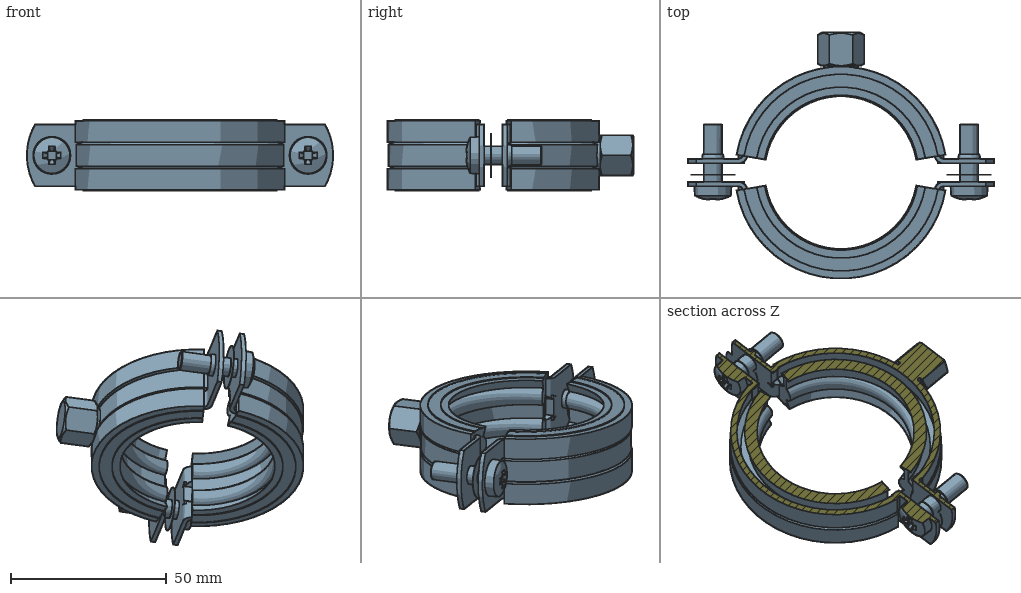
import cadquery as cq
import math


OUTER_RADIUS = 34.0
STEP_OUTER_RADIUS = 31.6
STEP_INNER_RADIUS = 27.5
LIP_RADIUS = 24.9
BEAD_RADIUS = 24.5
VALLEY_RADIUS = 26.6
RING_HEIGHT = 22.7
EDGE_HEIGHT = 22.1
BEAD_START = 2.3
BEAD_END = 8.1
END_ANGLE = 9.7

SHEET = 1.5
STRIP_WIDTH = 19.9
STRIP_RADIUS = 31.9
RIB_RADIUS = 33.8
RIB_FLAT = 6.9
RIB_WIDTH = 8.5
CHANNEL_RADIUS = 28.1
CHANNEL_FLOOR = 4.5
CHANNEL_WIDTH = 8.9
CHANNEL_ROOF = 5.5

EAR_TIP = 49.2
EAR_CORNER = 46.5
EAR_ROOT = 33.0
EAR_GAP = 5.9
BEND_RADIUS = 1.5

SCREW_X = 41.1
SCREW_DIAMETER = 6.0
SCREW_TIP_DIAMETER = 5.5
SCREW_TIP_Y = 15.5
COLLAR_DIAMETER = 7.0
COLLAR_TOP_DIAMETER = 6.5
COLLAR_STRAIGHT = 0.6
COLLAR_HEIGHT = 1.5
WASHER_DIAMETER = 14.0
WASHER_THICKNESS = 0.1
WASHER_Y = -0.7
HEAD_DIAMETER = 12.0
HEAD_RIM_DIAMETER = 11.6
HEAD_SIDE = 3.0
HEAD_DOME = 1.5
RECESS_SPAN = 6.7
RECESS_SLOT = 2.3
RECESS_SLOT_FLOOR = 1.1
RECESS_CORE = 2.8
RECESS_DEPTH = 1.6

NUT_FLATS = 13.0
NUT_TOP = 45.1
NUT_BASE = 34.3
NUT_TOP_CHAMFER = 0.9
NUT_BASE_CHAMFER = 0.6
CHAMFER_ANGLE = 30
NECK_DIAMETER = 11.0

EAR_INSIDE = EAR_GAP / 2
EAR_OUTSIDE = EAR_INSIDE + SHEET
BEND_CENTRE_Y = EAR_OUTSIDE + BEND_RADIUS
DOME_BASE_Y = -EAR_OUTSIDE - HEAD_SIDE
DOME_CREST_Y = DOME_BASE_Y - HEAD_DOME


def sweep_half(profile):
    """Turn a profile of radius and Z about Z through the upper half of the clamp."""
    angle = 180 - 2 * END_ANGLE
    swept = profile.revolve(angle, (0, 0, 0), (0, 1, 0))
    return swept.rotate((0, 0, 0), (0, 0, 1), END_ANGLE)


def hollow_outline(shift):
    """Cross-section of the hollow under the rib, moved along X by the given amount."""
    half = [
        (CHANNEL_RADIUS + shift, CHANNEL_FLOOR / 2),
        (STRIP_RADIUS - SHEET + shift, CHANNEL_WIDTH / 2),
        (RIB_RADIUS - SHEET + shift, CHANNEL_ROOF / 2),
    ]
    mirrored = [(x, -z) for x, z in reversed(half)]
    return cq.Workplane("XZ").polyline(half + mirrored).close()


def lining_ring():
    """Half ring with two beads inside, a grooved outside that shows the rib, and a hollow."""
    top = RING_HEIGHT / 2
    edge = EDGE_HEIGHT / 2
    bead_middle = (BEAD_START + BEAD_END) / 2
    profile = (
        cq.Workplane("XZ")
        .moveTo(OUTER_RADIUS, edge)
        .lineTo(STEP_OUTER_RADIUS, edge)
        .lineTo(STEP_OUTER_RADIUS, top)
        .lineTo(STEP_INNER_RADIUS, top)
        .lineTo(STEP_INNER_RADIUS, edge)
        .lineTo(LIP_RADIUS, edge)
        .lineTo(VALLEY_RADIUS, BEAD_END)
        .threePointArc((BEAD_RADIUS, bead_middle), (VALLEY_RADIUS, BEAD_START))
        .lineTo(VALLEY_RADIUS, -BEAD_START)
        .threePointArc((BEAD_RADIUS, -bead_middle), (VALLEY_RADIUS, -BEAD_END))
        .lineTo(LIP_RADIUS, -edge)
        .lineTo(STEP_INNER_RADIUS, -edge)
        .lineTo(STEP_INNER_RADIUS, -top)
        .lineTo(STEP_OUTER_RADIUS, -top)
        .lineTo(STEP_OUTER_RADIUS, -edge)
        .lineTo(OUTER_RADIUS, -edge)
        .lineTo(OUTER_RADIUS, -RIB_WIDTH / 2)
        .lineTo(STRIP_RADIUS, -RIB_WIDTH / 2)
        .lineTo(RIB_RADIUS, -RIB_FLAT / 2)
        .lineTo(RIB_RADIUS, RIB_FLAT / 2)
        .lineTo(STRIP_RADIUS, RIB_WIDTH / 2)
        .lineTo(OUTER_RADIUS, RIB_WIDTH / 2)
        .close()
    )
    return sweep_half(profile).cut(sweep_half(hollow_outline(0)))


def ear():
    """Flat ear on the +X side with a rounded tip, bent into the strip beside the rib."""
    plate = (
        cq.Workplane("XZ", origin=(0, EAR_OUTSIDE, 0))
        .moveTo(EAR_ROOT, -STRIP_WIDTH / 2)
        .lineTo(EAR_CORNER, -STRIP_WIDTH / 2)
        .threePointArc((EAR_TIP, 0), (EAR_CORNER, STRIP_WIDTH / 2))
        .lineTo(EAR_ROOT, STRIP_WIDTH / 2)
        .close()
        .extrude(SHEET)
    )
    outer_bend = BEND_RADIUS + SHEET
    diagonal = math.sqrt(0.5)
    bend = (
        cq.Workplane("XY", origin=(EAR_ROOT, BEND_CENTRE_Y, 0))
        .moveTo(0, -outer_bend)
        .threePointArc((-outer_bend * diagonal, -outer_bend * diagonal), (-outer_bend, 0))
        .lineTo(-BEND_RADIUS, 0)
        .threePointArc((-BEND_RADIUS * diagonal, -BEND_RADIUS * diagonal), (0, -BEND_RADIUS))
        .close()
        .extrude(STRIP_WIDTH / 2, both=True)
    )
    rib_foot = EAR_ROOT - (RIB_RADIUS - STRIP_RADIUS)
    rib_end = (
        cq.Workplane("XZ", origin=(0, BEND_CENTRE_Y, 0))
        .polyline([
            (rib_foot, -RIB_WIDTH / 2),
            (EAR_ROOT, -RIB_FLAT / 2),
            (EAR_ROOT, RIB_FLAT / 2),
            (rib_foot, RIB_WIDTH / 2),
        ])
        .close()
        .extrude(BEND_CENTRE_Y - EAR_INSIDE)
    )
    hollow = hollow_outline(EAR_ROOT - RIB_RADIUS).extrude(-BEND_CENTRE_Y)
    return bend.union(rib_end).cut(hollow).union(plate)


def clamp_half():
    """Upper half: ring with an ear at both ends."""
    right_ear = ear()
    return lining_ring().union(right_ear).union(right_ear.mirror("YZ"))


def screw_recess():
    """Cross recess with arms sloping down to a square core, on an axis along Y."""
    core = cq.Workplane("XY").box(
        RECESS_CORE, RECESS_DEPTH, RECESS_CORE, centered=(True, False, True)
    ).translate((0, DOME_CREST_Y, 0))
    slot = (
        cq.Workplane("XZ", origin=(0, DOME_CREST_Y, 0))
        .rect(RECESS_SPAN, RECESS_SLOT)
        .workplane(offset=-RECESS_DEPTH)
        .rect(RECESS_CORE, RECESS_SLOT_FLOOR)
        .loft(ruled=True)
    )
    return core.union(slot).union(slot.rotate((0, 0, 0), (0, 1, 0), 90))


def screw():
    """Domed screw with the retaining washer and the ear's collar, turned about Y."""
    radius = SCREW_DIAMETER / 2
    tip_radius = SCREW_TIP_DIAMETER / 2
    rim_radius = HEAD_RIM_DIAMETER / 2
    dome_radius = (rim_radius**2 + HEAD_DOME**2) / (2 * HEAD_DOME)
    halfway = rim_radius / 2
    dome_halfway = DOME_CREST_Y + dome_radius - math.sqrt(dome_radius**2 - halfway**2)
    turned = (
        cq.Workplane("XY")
        .moveTo(0, DOME_CREST_Y)
        .threePointArc((halfway, dome_halfway), (rim_radius, DOME_BASE_Y))
        .lineTo(HEAD_DIAMETER / 2, -EAR_OUTSIDE)
        .lineTo(radius, -EAR_OUTSIDE)
        .lineTo(radius, WASHER_Y - WASHER_THICKNESS / 2)
        .lineTo(WASHER_DIAMETER / 2, WASHER_Y - WASHER_THICKNESS / 2)
        .lineTo(WASHER_DIAMETER / 2, WASHER_Y + WASHER_THICKNESS / 2)
        .lineTo(radius, WASHER_Y + WASHER_THICKNESS / 2)
        .lineTo(radius, EAR_OUTSIDE)
        .lineTo(COLLAR_DIAMETER / 2, EAR_OUTSIDE)
        .lineTo(COLLAR_DIAMETER / 2, EAR_OUTSIDE + COLLAR_STRAIGHT)
        .lineTo(COLLAR_TOP_DIAMETER / 2, EAR_OUTSIDE + COLLAR_HEIGHT)
        .lineTo(radius, EAR_OUTSIDE + COLLAR_HEIGHT)
        .lineTo(radius, SCREW_TIP_Y - (radius - tip_radius))
        .lineTo(tip_radius, SCREW_TIP_Y)
        .lineTo(0, SCREW_TIP_Y)
        .close()
        .revolve(360, (0, 0, 0), (0, 1, 0))
    )
    return turned.cut(screw_recess())


def connecting_nut():
    """Hexagon nut with chamfered corners on a short round neck, along Y."""
    corner_radius = NUT_FLATS / math.sqrt(3)
    hexagon = (
        cq.Workplane("XZ", origin=(0, NUT_TOP, 0))
        .polygon(6, 2 * corner_radius)
        .extrude(NUT_TOP - NUT_BASE)
    )
    spread = 1 / math.tan(math.radians(CHAMFER_ANGLE))
    envelope = (
        cq.Workplane("XY")
        .polyline([
            (0, NUT_BASE),
            (corner_radius - NUT_BASE_CHAMFER * spread, NUT_BASE),
            (corner_radius, NUT_BASE + NUT_BASE_CHAMFER),
            (corner_radius, NUT_TOP - NUT_TOP_CHAMFER),
            (corner_radius - NUT_TOP_CHAMFER * spread, NUT_TOP),
            (0, NUT_TOP),
        ])
        .close()
        .revolve(360, (0, 0, 0), (0, 1, 0))
    )
    neck = (
        cq.Workplane("XZ", origin=(0, NUT_BASE, 0))
        .circle(NECK_DIAMETER / 2)
        .extrude(NUT_BASE - (RIB_RADIUS - SHEET))
    )
    return hexagon.intersect(envelope).union(neck)


upper_half = clamp_half()
result = upper_half.union(upper_half.mirror("XZ")).union(connecting_nut())
for screw_x in (-SCREW_X, SCREW_X):
    result = result.union(screw().translate((screw_x, 0, 0)))